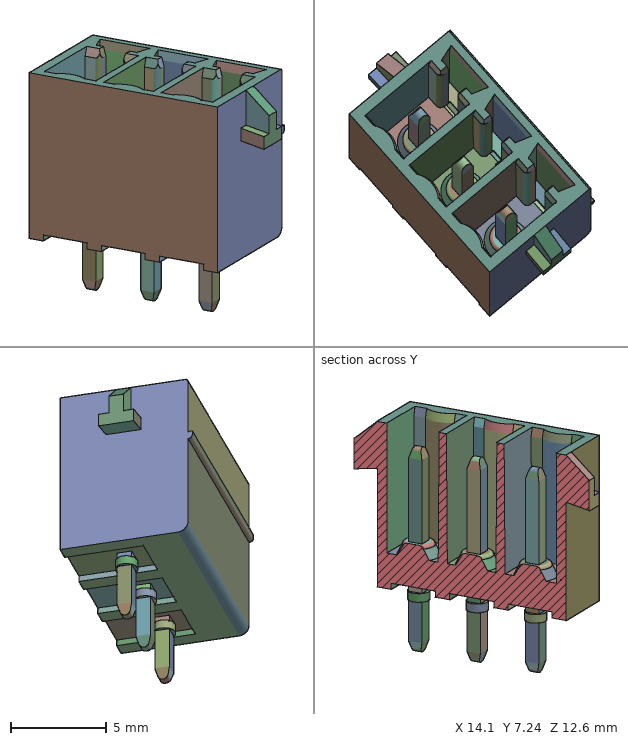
import cadquery as cq


overall_width = 14.1
pitch = 3.5
body_width = 11.32
body_height = 9.22
body_front = -3.0
body_back = 4.0
bottom_round = 0.55
top_chamfer = 0.1

rib_reach = 0.24
rib_top = 6.02
rib_height = 0.42
rib_round = 0.21

ear_reach = (overall_width - body_width) / 2
ear_center = 0.48
ear_web_width = 0.8
ear_bar_width = 1.92
ear_bar_height = 0.7
ear_bar_top = 7.28
ear_bar_droop = 0.24
ear_web_drop = 1.18

floor_z = 2.0
lead_height = 0.5
divider = 0.47
middle_half = 1.5
outer_wall = 0.6
side_draft = 0.05
pocket_front = -2.44
front_lead = 0.14
bump_half = 0.86
bump_rise = 0.28

post_front = 2.16
post_back = 2.58
post_lead = 0.18
post_round = 0.28
throat_half = 0.79
throat_lead = 0.14
throat_tight = throat_half - throat_lead

key_front_half = 1.21
key_back_half = 1.5
key_back = 3.48
key_lead = 0.14

notch_front = 2.25
notch_valley = 2.44
notch_back = 2.68
notch_depth = 0.18
notch_back_depth = 0.13

boss_radius = 1.15
boss_top_radius = 0.87
boss_cone_height = 0.56
boss_round = 0.18

pin_size = 0.8
pin_top = 8.0
pin_bottom = -3.38
pin_taper_length = 0.6
pin_end_size = 0.45
pin_round_height = 0.18
collar_radius = 0.59
collar_height = 0.48

relief_width = 2.62
relief_height = 0.34
relief_back = relief_width / 2

slack = 0.14


def housing():
    depth = body_back - body_front
    block = cq.Workplane("XY").box(body_width, depth, body_height, centered=(True, False, False))
    block = block.translate((0, body_front, 0))
    block = block.edges(">Y and <Z").fillet(bottom_round)
    return block.edges(">Y and >Z").chamfer(top_chamfer)


def rib():
    strip = (
        cq.Workplane("XY")
        .box(body_width, rib_reach + slack, rib_height, centered=(True, False, False))
        .translate((0, body_back - slack, rib_top - rib_height))
    )
    return strip.edges(">Y and <Z").fillet(rib_round)


def ear():
    """Latch ear on the +X end: a wedge-shaped web standing on a drooping bar."""
    inner = body_width / 2
    outer = inner + ear_reach
    bar_outer_top = ear_bar_top - ear_bar_droop
    bar = [
        (inner, ear_bar_top),
        (outer, bar_outer_top),
        (outer, bar_outer_top - ear_bar_height),
        (inner, ear_bar_top - ear_bar_height),
    ]
    web = [
        (inner, body_height),
        (outer, body_height - ear_web_drop),
        (outer, bar_outer_top - ear_bar_height),
        (inner, ear_bar_top - ear_bar_height),
    ]
    plane = cq.Workplane("XZ", origin=(0, ear_center, 0))
    wide = plane.polyline(bar).close().extrude(ear_bar_width / 2, both=True)
    narrow = plane.polyline(web).close().extrude(ear_web_width / 2, both=True)
    return wide.union(narrow)


def pocket_outline(z, left, right, front, post, throat):
    """Outline of a pocket and its throat at height z, relative to the pin."""
    return (
        cq.Workplane("XY", origin=(0, 0, z))
        .moveTo(left, front)
        .lineTo(-bump_half, front)
        .threePointArc((0, front + bump_rise), (bump_half, front))
        .lineTo(right, front)
        .lineTo(right, post)
        .lineTo(throat, post)
        .lineTo(throat, post_back + slack)
        .lineTo(-throat, post_back + slack)
        .lineTo(-throat, post)
        .lineTo(left, post)
        .close()
    )


def loft(lower, upper):
    return cq.Workplane(cq.Solid.makeLoft([lower.wires().val(), upper.wires().val()], True))


def pocket(left, right, left_draft, right_draft):
    """Pocket with drafted sides, and a lead-in at the rim on its front wall and posts."""
    lead_z = body_height - lead_height
    draft_share = lead_height / (body_height - floor_z)
    front = pocket_front + front_lead
    post = post_front - post_lead

    def tight_outline(z, share):
        sides = (left + left_draft * share, right - right_draft * share)
        return pocket_outline(z, *sides, front, post, throat_tight)

    rim = pocket_outline(body_height, left, right, pocket_front, post_front, throat_half)
    lead_in = loft(tight_outline(lead_z, draft_share), rim)
    shaft = loft(tight_outline(floor_z, 1), tight_outline(body_height, 0))
    post_corners = cq.selectors.BoxSelector(
        (-throat_tight - slack, post - slack, floor_z + slack),
        (throat_tight + slack, post + slack, body_height - slack),
    )
    shaft = shaft.edges(post_corners).fillet(post_round)
    return shaft.union(lead_in)


def key_slot():
    slot = (
        cq.Workplane("XY", origin=(0, 0, floor_z))
        .polyline([
            (-key_front_half, post_back),
            (key_front_half, post_back),
            (key_back_half, key_back),
            (-key_back_half, key_back),
        ])
        .close()
        .extrude(body_height - floor_z)
    )
    lead_z = body_height - lead_height
    back_wall = (
        cq.Workplane("YZ")
        .polyline([
            (key_back - key_lead, floor_z),
            (key_back - key_lead, lead_z),
            (key_back, body_height),
            (key_back + slack, body_height),
            (key_back + slack, floor_z),
        ])
        .close()
        .extrude(key_back_half + slack, both=True)
    )
    return slot.cut(back_wall)


def floor_notch(start_x, end_x, long):
    """Notch across part of a throat: a V groove if long, else one ramp."""
    if long:
        section = [
            (notch_front, floor_z),
            (notch_valley, floor_z - notch_depth),
            (notch_back, floor_z - notch_back_depth),
            (notch_back, floor_z),
        ]
    else:
        section = [
            (notch_valley, floor_z),
            (notch_back, floor_z - notch_depth),
            (notch_back, floor_z),
        ]
    plane = cq.Workplane("YZ", origin=(start_x, 0, 0))
    return plane.polyline(section).close().extrude(end_x - start_x)


def boss():
    cone_top = floor_z + boss_cone_height
    return (
        cq.Workplane("XZ")
        .moveTo(0, floor_z - slack)
        .lineTo(boss_radius, floor_z - slack)
        .lineTo(boss_radius, floor_z)
        .lineTo(boss_top_radius, cone_top)
        .radiusArc((boss_top_radius - boss_round, cone_top + boss_round), -boss_round)
        .lineTo(0, cone_top + boss_round)
        .close()
        .revolve(360, (0, 0, 0), (0, 1, 0))
    )


def pin():
    """Square pin tapered at both ends, with the tips rounded about X."""
    half = pin_size / 2
    end = pin_end_size / 2
    low = pin_bottom + pin_taper_length
    high = pin_top - pin_taper_length
    tip = end + (half - end) * pin_round_height / pin_taper_length
    flat_tipped = (
        cq.Workplane("XZ")
        .polyline([
            (-end, pin_bottom),
            (end, pin_bottom),
            (half, low),
            (half, high),
            (end, pin_top),
            (-end, pin_top),
            (-half, high),
            (-half, low),
        ])
        .close()
        .extrude(half, both=True)
    )
    round_tipped = (
        cq.Workplane("YZ")
        .moveTo(-tip, pin_bottom + pin_round_height)
        .threePointArc((0, pin_bottom), (tip, pin_bottom + pin_round_height))
        .lineTo(half, low)
        .lineTo(half, high)
        .lineTo(tip, pin_top - pin_round_height)
        .threePointArc((0, pin_top), (-tip, pin_top - pin_round_height))
        .lineTo(-half, high)
        .lineTo(-half, low)
        .close()
        .extrude(half, both=True)
    )
    collar = cq.Workplane("XY").circle(collar_radius).extrude(-collar_height)
    return flat_tipped.intersect(round_tipped).union(collar)


def underside_relief():
    length = relief_back - body_front
    relief = cq.Workplane("XY").box(relief_width, length, relief_height, centered=(True, False, False))
    return relief.translate((0, body_front, 0))


inner_side = pitch - middle_half - divider
outer_side = body_width / 2 - outer_wall - pitch
pockets = {
    -pitch: pocket(-outer_side, inner_side, 0, side_draft),
    0: pocket(-middle_half, middle_half, side_draft, side_draft),
    pitch: pocket(-inner_side, outer_side, side_draft, 0),
}
notches = {
    -pitch: floor_notch(-throat_tight, throat_tight, True),
    0: floor_notch(-throat_tight, 0, False).union(floor_notch(0, throat_tight, True)),
    pitch: floor_notch(-throat_tight, throat_tight, False),
}

result = housing().union(rib()).union(ear()).union(ear().mirror("YZ"))
for x, cavity in pockets.items():
    for cut in (cavity, key_slot(), notches[x], underside_relief()):
        result = result.cut(cut.translate((x, 0, 0)))
    for addition in (boss(), pin()):
        result = result.union(addition.translate((x, 0, 0)))